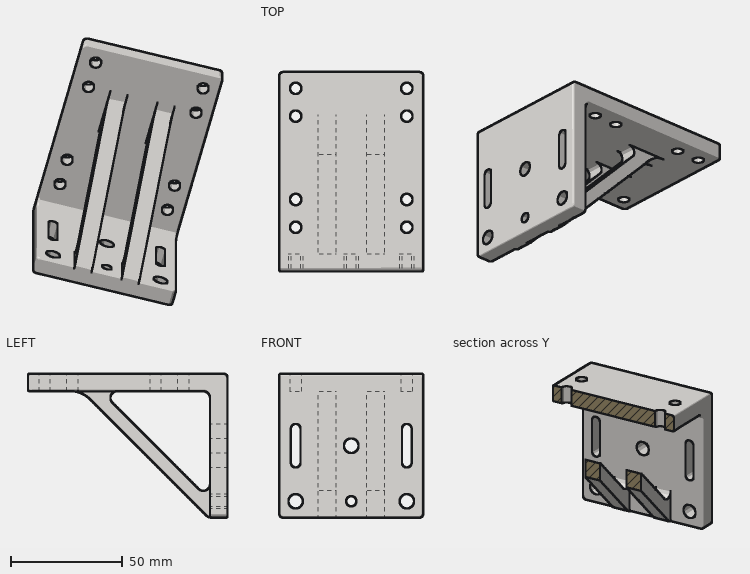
import cadquery as cq
import math

WIDTH = 65.0
LENGTH = 90.0
HEIGHT = 65.0
THICKNESS = 8.0

CORNER_RADIUS = 2.0
BEND_RADIUS = 3.0
EDGE_RADIUS = 1.0

BRACE_SPREAD = 30.0
BRACE_WIDTH = THICKNESS
BRACE_TOE = 8.6
BRACE_THICKNESS = 6.1
BRACE_ROOT_RADIUS = 12.0
BRACE_TOE_RADIUS = 4.0

EDGE_MARGIN = 7.5
HOLE_X = WIDTH / 2 - EDGE_MARGIN
ROW_PITCH = 12.5
FIRST_ROW_Y = 20.0
TOP_HOLE_DIAMETER = 5.0
CENTRE_HOLE_DIAMETER = 6.5
CORNER_HOLE_DIAMETER = 6.4
LOWER_HOLE_DIAMETER = 4.5
SLOT_LENGTH = 19.5
SLOT_WIDTH = 4.2
MIDDLE_Z = -HEIGHT / 2
LOWER_ROW_Z = EDGE_MARGIN - HEIGHT


def extrude_across(profile, width):
    """Extrude a profile drawn in the YZ plane symmetrically about X = 0."""
    return profile.extrude(width / 2, both=True)


def make_plates():
    """Horizontal and vertical plates joined in an L, with rounded edges."""
    outline = cq.Workplane("YZ").polyline([
        (0, 0),
        (LENGTH, 0),
        (LENGTH, -THICKNESS),
        (THICKNESS, -THICKNESS),
        (THICKNESS, -HEIGHT),
        (0, -HEIGHT),
    ]).close()
    plates = extrude_across(outline, WIDTH)
    inner_bend = cq.selectors.NearestToPointSelector((0, THICKNESS, -THICKNESS))
    plates = plates.edges(inner_bend).edges("|X").fillet(BEND_RADIUS)
    plates = plates.faces(">Z").edges("<Y").fillet(CORNER_RADIUS)
    plates = plates.faces(">Y").edges("|Z").fillet(CORNER_RADIUS)
    plates = plates.faces("<Z").edges("|Y").fillet(CORNER_RADIUS)
    return plates.faces(">Y").edges("|X").fillet(EDGE_RADIUS)


def make_brace():
    """45 degree strut between the plates, centred on X = 0, with an open triangular window."""
    root_y = BRACE_TOE + HEIGHT - THICKNESS
    embed = THICKNESS / 2
    root_end_y = root_y + BRACE_ROOT_RADIUS / 2
    outline = cq.Workplane("YZ").polyline([
        (embed, -embed),
        (root_end_y, -embed),
        (root_end_y, -THICKNESS),
        (root_y, -THICKNESS),
        (BRACE_TOE, -HEIGHT),
        (embed, -HEIGHT),
    ]).close()
    brace = extrude_across(outline, BRACE_WIDTH)
    root = cq.selectors.NearestToPointSelector((0, root_y, -THICKNESS))
    brace = brace.edges(root).fillet(BRACE_ROOT_RADIUS)
    toe = cq.selectors.NearestToPointSelector((0, BRACE_TOE, -HEIGHT))
    brace = brace.edges(toe).fillet(BRACE_TOE_RADIUS)

    window_side = root_y - BRACE_THICKNESS * math.sqrt(2) - THICKNESS
    window_outline = cq.Workplane("YZ").polyline([
        (THICKNESS, -THICKNESS),
        (THICKNESS + window_side, -THICKNESS),
        (THICKNESS, -THICKNESS - window_side),
    ]).close()
    window = extrude_across(window_outline, BRACE_WIDTH).edges("|X").fillet(BEND_RADIUS)
    return brace.cut(window)


def make_braces():
    """Two equal braces, one either side of the centre holes."""
    offset = (BRACE_SPREAD - BRACE_WIDTH) / 2
    brace = make_brace()
    return brace.translate((-offset, 0, 0)).union(brace.translate((offset, 0, 0)))


def front_sketch(*centres):
    """Points on the front face, given as (X, Z)."""
    return cq.Workplane("XZ").pushPoints(centres)


def drill_front(centres, diameter):
    """Cutters running front to back through the vertical plate."""
    return front_sketch(*centres).circle(diameter / 2).extrude(-THICKNESS)


def make_front_cutters():
    """Round holes and upright slots through the vertical plate."""
    cutters = drill_front([(0, MIDDLE_Z)], CENTRE_HOLE_DIAMETER)
    cutters = cutters.union(drill_front([(0, LOWER_ROW_Z)], LOWER_HOLE_DIAMETER))
    corners = [(-HOLE_X, LOWER_ROW_Z), (HOLE_X, LOWER_ROW_Z)]
    cutters = cutters.union(drill_front(corners, CORNER_HOLE_DIAMETER))
    slots = front_sketch((-HOLE_X, MIDDLE_Z), (HOLE_X, MIDDLE_Z))
    return cutters.union(slots.slot2D(SLOT_LENGTH, SLOT_WIDTH, 90).extrude(-THICKNESS))


def make_top_cutters():
    """Two pairs of hole rows through the horizontal plate."""
    last_row_y = LENGTH - EDGE_MARGIN
    rows = [FIRST_ROW_Y, FIRST_ROW_Y + ROW_PITCH, last_row_y - ROW_PITCH, last_row_y]
    centres = [(x, y) for x in (-HOLE_X, HOLE_X) for y in rows]
    return cq.Workplane("XY").pushPoints(centres).circle(TOP_HOLE_DIAMETER / 2).extrude(-THICKNESS)


result = make_plates().union(make_braces()).cut(make_front_cutters()).cut(make_top_cutters())